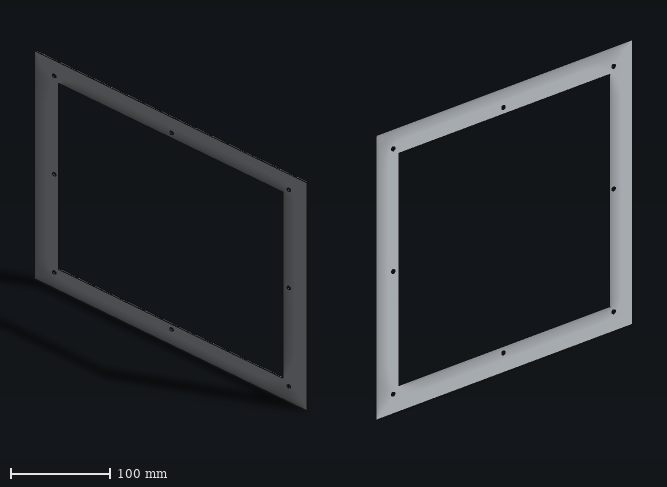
import cadquery as cq

width = 334.0
height = 322.0
thickness = 2.0

border = 30.0

hole_diameter = 4.0
hole_span_x = 287.0
hole_span_z = 277.2
hole_shift_x = 1.0

hole_points = [
    (hole_shift_x + i * hole_span_x / 2, k * hole_span_z / 2)
    for i in (-1, 0, 1)
    for k in (-1, 0, 1)
    if (i, k) != (0, 0)
]


def plate_prism(sketch):
    """Extrude an XZ sketch through the plate, centred on Y."""
    return sketch.extrude(thickness / 2, both=True)


plate = plate_prism(cq.Workplane("XZ").rect(width, height))
window = plate_prism(cq.Workplane("XZ").rect(width - 2 * border, height - 2 * border))
holes = plate_prism(cq.Workplane("XZ").pushPoints(hole_points).circle(hole_diameter / 2))

result = plate.cut(window).cut(holes)